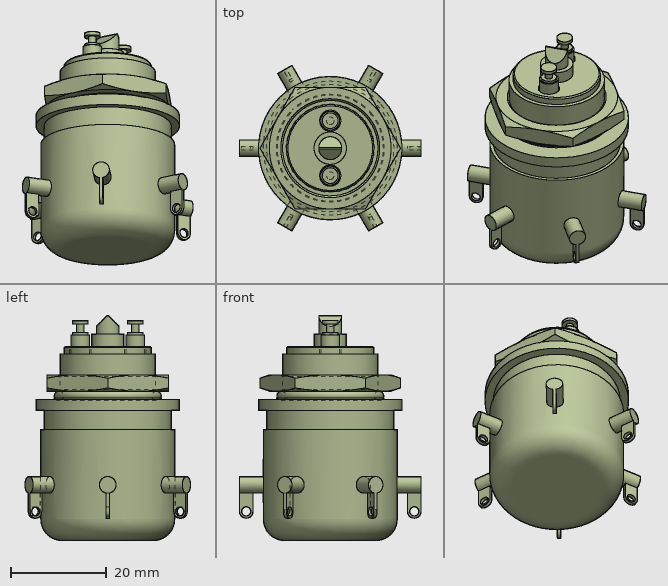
import cadquery as cq
import math

FLANGE_BOTTOM_Z = 27.2
FLANGE_TOP_Z = 29.5
WAIST_BOTTOM_Z = 23.18
NECK_TOP_Z = 39.0
CAP_TOP_Z = 40.6
COLLAR_TOP_Z = 43.15
TOTAL_HEIGHT = 47.0

CAN_RADIUS = 14.0
CAN_BOTTOM_FILLET = 4.5
WAIST_RADIUS = 13.3
FLANGE_RADIUS = 15.0
NECK_RADIUS = 9.95
RIM_RADIUS = 11.3
RIM_HEIGHT = 0.3

ARM_COUNT = 6
ARM_REACH = 19.0
ARM_RADIUS = 1.75
ARM_Z = 11.65
LUG_WIDTH = 2.85
LUG_THICKNESS = 0.7
LUG_HOLE_RADIUS = 0.95
LUG_HOLE_Z = 6.1

NUT_BOTTOM_Z = 31.2
NUT_THICKNESS = 3.45
NUT_ACROSS_FLATS = 25.45
NUT_CORNER_DROP = 0.7
NUT_BORE_CHAMFER = 0.38

SEAL_OUTER_RADIUS = 11.2
SEAL_TUBE_RADIUS = 1.0

CAP_RADIUS = 9.1
CAP_CHAMFER = 0.3

COLLAR_RADIUS = 3.4
SHAFT_RADIUS = 2.4
CHISEL_EDGE_WIDTH = 0.3

COIL_TERMINAL_OFFSET = 5.75
COIL_TERMINAL_PLACES = (-COIL_TERMINAL_OFFSET, COIL_TERMINAL_OFFSET)
POST_RADIUS = 1.97
POST_HOLE_RADIUS = 2.2
POST_TOP_Z = 43.0
SHOULDER_RADIUS = 1.65
SHOULDER_TOP_Z = 43.55
STEM_RADIUS = 0.8
HEAD_BOTTOM_Z = 45.22
HEAD_TOP_Z = 45.98


def cylinder(radius, bottom_z, top_z):
    """Upright cylinder on the Z axis."""
    return cq.Workplane("XY").workplane(offset=bottom_z).circle(radius).extrude(top_z - bottom_z)


def make_seal():
    """Round-section ring whose top touches the nut."""
    ring_radius = SEAL_OUTER_RADIUS - SEAL_TUBE_RADIUS
    return (
        cq.Workplane("XZ")
        .center(ring_radius, NUT_BOTTOM_Z - SEAL_TUBE_RADIUS)
        .circle(SEAL_TUBE_RADIUS)
        .revolve(360, (-ring_radius, 0, 0), (-ring_radius, 1, 0))
    )


def make_side_terminal(angle):
    """Radial arm with a round-ended, pierced lug flush with the arm's end."""
    arm = cq.Workplane("YZ").center(0, ARM_Z).circle(ARM_RADIUS).extrude(ARM_REACH)
    lug_radius = LUG_WIDTH / 2
    lug_x = ARM_REACH - lug_radius
    lug = (
        cq.Workplane("XZ")
        .moveTo(lug_x - lug_radius, ARM_Z)
        .lineTo(lug_x - lug_radius, LUG_HOLE_Z)
        .threePointArc((lug_x, LUG_HOLE_Z - lug_radius), (lug_x + lug_radius, LUG_HOLE_Z))
        .lineTo(lug_x + lug_radius, ARM_Z)
        .close()
        .moveTo(lug_x, LUG_HOLE_Z)
        .circle(LUG_HOLE_RADIUS)
        .extrude(LUG_THICKNESS / 2, both=True)
    )
    return arm.union(lug).rotate((0, 0, 0), (0, 0, 1), angle)


def make_housing(seal):
    """Stepped round housing with its side terminals and a groove that seats the seal."""
    body = cylinder(CAN_RADIUS, 0, WAIST_BOTTOM_Z).faces("<Z").edges().fillet(CAN_BOTTOM_FILLET)
    body = body.union(cylinder(WAIST_RADIUS, WAIST_BOTTOM_Z, FLANGE_BOTTOM_Z))
    body = body.union(cylinder(FLANGE_RADIUS, FLANGE_BOTTOM_Z, FLANGE_TOP_Z))
    body = body.union(cylinder(RIM_RADIUS, FLANGE_TOP_Z, FLANGE_TOP_Z + RIM_HEIGHT))
    body = body.union(cylinder(NECK_RADIUS, FLANGE_TOP_Z, NECK_TOP_Z))
    for index in range(ARM_COUNT):
        body = body.union(make_side_terminal(index * 360 / ARM_COUNT))
    return body.cut(seal)


def make_nut():
    """Hexagonal nut with its corners turned to a cone above and below."""
    flat_radius = NUT_ACROSS_FLATS / 2
    corner_radius = flat_radius / math.cos(math.pi / 6)
    blank = cq.Workplane("XY").polygon(6, 2 * corner_radius).extrude(NUT_THICKNESS)
    turned = (
        cq.Workplane("XZ")
        .polyline([
            (NECK_RADIUS, NUT_BORE_CHAMFER),
            (NECK_RADIUS + NUT_BORE_CHAMFER, 0),
            (flat_radius, 0),
            (corner_radius, NUT_CORNER_DROP),
            (corner_radius, NUT_THICKNESS - NUT_CORNER_DROP),
            (flat_radius, NUT_THICKNESS),
            (NECK_RADIUS + NUT_BORE_CHAMFER, NUT_THICKNESS),
            (NECK_RADIUS, NUT_THICKNESS - NUT_BORE_CHAMFER),
        ])
        .close()
        .revolve(360, (0, 0, 0), (0, 1, 0))
    )
    return blank.intersect(turned).translate((0, 0, NUT_BOTTOM_Z))


def make_cap():
    """Disc closing the neck, with a chamfered top edge and clearance holes for the coil terminals."""
    cap = cylinder(CAP_RADIUS, NECK_TOP_Z, CAP_TOP_Z).faces(">Z").edges().chamfer(CAP_CHAMFER)
    for y in COIL_TERMINAL_PLACES:
        cap = cap.cut(cylinder(POST_HOLE_RADIUS, NECK_TOP_Z, CAP_TOP_Z).translate((0, y, 0)))
    return cap


def make_collar():
    """Plain disc that carries the shaft."""
    return cylinder(COLLAR_RADIUS, CAP_TOP_Z, COLLAR_TOP_Z)


def make_shaft():
    """Round shaft cut at 45 degrees on two sides to a narrow flat edge along X."""
    half_edge = CHISEL_EDGE_WIDTH / 2
    shoulder_z = TOTAL_HEIGHT - (SHAFT_RADIUS - half_edge)
    chisel = (
        cq.Workplane("YZ")
        .polyline([
            (-SHAFT_RADIUS, COLLAR_TOP_Z),
            (SHAFT_RADIUS, COLLAR_TOP_Z),
            (SHAFT_RADIUS, shoulder_z),
            (half_edge, TOTAL_HEIGHT),
            (-half_edge, TOTAL_HEIGHT),
            (-SHAFT_RADIUS, shoulder_z),
        ])
        .close()
        .extrude(SHAFT_RADIUS, both=True)
    )
    return cylinder(SHAFT_RADIUS, COLLAR_TOP_Z, TOTAL_HEIGHT).intersect(chisel)


def make_coil_terminal(y):
    """Stepped post with a thin stem and a flat head as wide as its shoulder."""
    terminal = cylinder(POST_RADIUS, NECK_TOP_Z, POST_TOP_Z)
    terminal = terminal.union(cylinder(SHOULDER_RADIUS, POST_TOP_Z, SHOULDER_TOP_Z))
    terminal = terminal.union(cylinder(STEM_RADIUS, SHOULDER_TOP_Z, HEAD_BOTTOM_Z))
    terminal = terminal.union(cylinder(SHOULDER_RADIUS, HEAD_BOTTOM_Z, HEAD_TOP_Z))
    return terminal.translate((0, y, 0))


seal = make_seal()
housing = make_housing(seal)
nut = make_nut()
cap = make_cap()
collar = make_collar()
shaft = make_shaft()
coil_terminals = [make_coil_terminal(y) for y in COIL_TERMINAL_PLACES]

result = cq.Compound.makeCompound([
    housing.val(),
    seal.val(),
    nut.val(),
    cap.val(),
    collar.val(),
    shaft.val(),
    *[terminal.val() for terminal in coil_terminals],
])